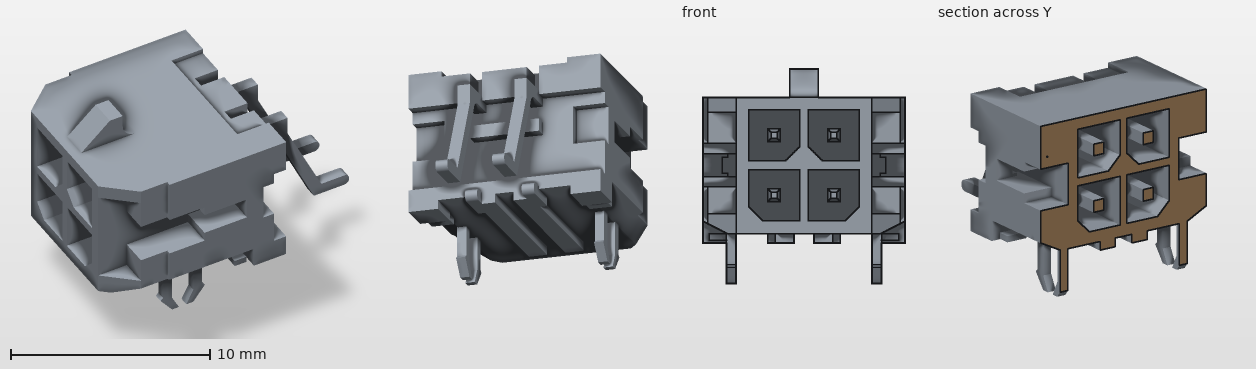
import cadquery as cq


width = 10.15
depth = 9.9
bottom_z = 0.46
top_z = 7.3
half_width = width / 2
nose_half_width = 4.83
nose_depth = 3.17
face_half_width = 3.4
face_chamfer_depth = 1.65
edge_chamfer_width = 1.25
edge_chamfer_height = 0.64

pitch = 3.0
lower_row_z = 2.4
upper_row_z = lower_row_z + pitch
column_xs = (-pitch / 2, pitch / 2)
pin_size = 0.64
pin_tip_size = 0.3
pin_tip_length = 1.0
pin_start_y = 2.5
pin_end_y = 8.57

cavity_size = 2.55
cavity_depth = 7.5
cavity_chamfer = 0.7

side_window_z = (1.48, 6.56)
wide_slot_z = (2.82, 5.0)
wide_slot_depth = 5.19
narrow_slot_z = (3.33, 4.49)
narrow_slot_depth = 7.63
key_recess_depth = 0.5
key_web_x = 3.82
key_head_x = 4.1
key_head_z = (3.5, 4.31)

rear_recess_depth = 0.7
rear_recess_z = (1.15, 5.5)
rear_wall_y = depth - rear_recess_depth
rear_bar_z = (3.56, 4.22)
side_notch_start_y = 8.6
side_notch_z = (2.92, 4.9)
step_half_width = 3.32
step_start_y = 8.08
step_z = 7.02

foot_start_y = 8.04
foot_height = 1.15
foot_inner_x = 3.5
rib_inner_x = 0.49
rib_outer_x = 1.45
tab_outer_x = 4.76
tab_inner_x = 3.6
tab_y = (7.11, 7.78)
tab_bottom_z = 0.13

latch_width = 1.44
latch_top_z = 8.73
latch_front_y = 0.55
latch_crest_y = 2.21
latch_back_y = 2.95
latch_fillet = 0.76

tail_thickness = 0.6
tail_end_radius = 0.28
lower_tail_end_y = 10.7
upper_tail_end_y = 15.4
upper_bend_y = 11.84
upper_bend_z = 4.72
upper_foot_top_y = 13.8
upper_foot_bottom_y = 13.36
inner_bend_start_y = 10.65
inner_bend_end = (11.2, 4.63)
inner_bend_mid = (10.98, 4.96)

peg_inner_x = face_half_width
peg_outer_x = 3.89
peg_center_y = 4.6
peg_bottom_z = -2.04
peg_root_z = 0.7
leg_inner_offset = 0.62
leg_outer_offset = 1.13
hook_offset = 1.28
hook_z = -1.21
hook_top_z = -1.08
leg_bend_z = -1.26
leg_tip_inner_offset = 0.21
leg_tip_outer_offset = 0.61


def box(x_range, y_range, z_range):
    size = [high - low for low, high in (x_range, y_range, z_range)]
    corner = (x_range[0], y_range[0], z_range[0])
    return cq.Workplane("XY").box(*size, centered=False).translate(corner)


def both_sides(shape):
    return shape.union(shape.mirror("YZ"))


def extrude_x(profile, x_start, x_end):
    """Extrude a closed profile, drawn in Y and Z, from x_start to x_end."""
    return profile.extrude(x_end - x_start).translate((x_start, 0, 0))


def make_housing():
    right_edge = [
        (face_half_width, 0),
        (nose_half_width, face_chamfer_depth),
        (nose_half_width, nose_depth),
        (half_width, nose_depth),
        (half_width, depth),
    ]
    left_edge = [(-x, y) for x, y in reversed(right_edge)]
    block = (
        cq.Workplane("XY", origin=(0, 0, bottom_z))
        .polyline(right_edge + left_edge)
        .close()
        .extrude(top_z - bottom_z)
    )
    edge_chamfer = (
        cq.Workplane("XZ")
        .moveTo(-half_width, bottom_z)
        .lineTo(-half_width + edge_chamfer_width, bottom_z)
        .lineTo(-half_width, bottom_z + edge_chamfer_height)
        .close()
        .extrude(-foot_start_y)
    )
    return block.cut(both_sides(edge_chamfer))


def make_feet():
    outer_foot = box((-half_width, -foot_inner_x), (foot_start_y, depth), (0, foot_height))
    rib = box((-rib_outer_x, -rib_inner_x), (face_chamfer_depth, depth), (0, bottom_z))
    tab = box((-tab_outer_x, -tab_inner_x), tab_y, (tab_bottom_z, bottom_z))
    return both_sides(outer_foot.union(rib).union(tab))


def make_side_openings():
    outer_to_core = (-half_width, -face_half_width)
    key_y = (narrow_slot_depth, narrow_slot_depth + key_recess_depth)
    openings = box(outer_to_core, (0, face_chamfer_depth), side_window_z)
    openings = openings.union(box(outer_to_core, (0, wide_slot_depth), wide_slot_z))
    openings = openings.union(box(outer_to_core, (0, narrow_slot_depth), narrow_slot_z))
    openings = openings.union(box((-key_web_x, -face_half_width), key_y, narrow_slot_z))
    openings = openings.union(box((-key_head_x, -face_half_width), key_y, key_head_z))
    openings = openings.union(box(outer_to_core, (side_notch_start_y, rear_wall_y), side_notch_z))
    return both_sides(openings)


def make_rear_openings():
    openings = box((-half_width, half_width), (rear_wall_y, depth), rear_recess_z)
    openings = openings.union(
        box((-step_half_width, step_half_width), (step_start_y, depth), (step_z, top_z))
    )
    for x in column_xs:
        slot_x = (x - pin_size / 2, x + pin_size / 2)
        openings = openings.union(box(slot_x, (pin_end_y, depth), (upper_row_z, top_z)))
    return openings


def make_rear_bar():
    half_length = (pitch + pin_size) / 2
    return box((-half_length, half_length), (rear_wall_y, depth), rear_bar_z)


def make_cavities():
    """Upper cavities are chamfered at the lower inside corner, lower ones at the outside."""
    half = cavity_size / 2
    cavities = cq.Workplane("XY")
    for row_z, chamfer_side in ((upper_row_z, 1), (lower_row_z, -1)):
        outline = [
            (-half * chamfer_side, half),
            (-half * chamfer_side, -half),
            ((half - cavity_chamfer) * chamfer_side, -half),
            (half * chamfer_side, -half + cavity_chamfer),
            (half * chamfer_side, half),
        ]
        cavity = (
            cq.Workplane("XZ", origin=(-pitch / 2, 0, row_z))
            .polyline(outline)
            .close()
            .extrude(-cavity_depth)
        )
        cavities = cavities.add(both_sides(cavity))
    return cavities.combine()


def make_latch():
    profile = (
        cq.Workplane("YZ")
        .moveTo(latch_front_y, top_z)
        .lineTo(latch_crest_y, latch_top_z)
        .lineTo(latch_back_y, latch_top_z)
        .lineTo(latch_back_y, top_z + latch_fillet)
        .radiusArc((latch_back_y + latch_fillet, top_z), -latch_fillet)
        .close()
    )
    return extrude_x(profile, -latch_width / 2, latch_width / 2)


def make_pin(x, z):
    shaft_start_y = pin_start_y + pin_tip_length
    half = pin_size / 2
    shaft = box((x - half, x + half), (shaft_start_y, pin_end_y), (z - half, z + half))
    tip = (
        cq.Workplane("XZ", origin=(x, shaft_start_y, z))
        .rect(pin_size, pin_size)
        .workplane(offset=pin_tip_length)
        .rect(pin_tip_size, pin_tip_size)
        .loft(ruled=True)
    )
    return shaft.union(tip)


def make_upper_tail(x):
    lead_top_z = upper_row_z + pin_size / 2
    lead_bottom_z = upper_row_z - pin_size / 2
    profile = (
        cq.Workplane("YZ")
        .moveTo(pin_end_y, lead_top_z)
        .lineTo(upper_bend_y, lead_top_z)
        .lineTo(upper_bend_y, upper_bend_z)
        .lineTo(upper_foot_top_y, tail_thickness)
        .lineTo(upper_tail_end_y, tail_thickness)
        .lineTo(upper_tail_end_y, 0)
        .lineTo(upper_foot_bottom_y, 0)
        .lineTo(*inner_bend_end)
        .threePointArc(inner_bend_mid, (inner_bend_start_y, lead_bottom_z))
        .lineTo(pin_end_y, lead_bottom_z)
        .close()
    )
    tail = extrude_x(profile, x - pin_size / 2, x + pin_size / 2)
    return tail.faces(">Y").edges("|X").fillet(tail_end_radius)


def make_lower_tail(x):
    half = pin_size / 2
    tail = box((x - half, x + half), (pin_end_y, lower_tail_end_y), (0, tail_thickness))
    return tail.faces(">Y").edges("|X").fillet(tail_end_radius)


def make_pegs():
    leg_profile = [
        (leg_inner_offset, peg_root_z),
        (leg_outer_offset, peg_root_z),
        (leg_outer_offset, hook_top_z),
        (hook_offset, hook_z),
        (leg_tip_outer_offset, peg_bottom_z),
        (leg_tip_inner_offset, peg_bottom_z),
        (leg_inner_offset, leg_bend_z),
    ]
    leg = extrude_x(
        cq.Workplane("YZ").polyline(leg_profile).close(), -peg_outer_x, -peg_inner_x
    )
    leg_pair = leg.union(leg.mirror("XZ")).translate((0, peg_center_y, 0))
    return both_sides(leg_pair)


result = make_housing().union(make_feet())
result = result.cut(make_side_openings())
result = result.cut(make_rear_openings())
result = result.cut(make_cavities())
result = result.union(make_rear_bar())
result = result.union(make_latch())
result = result.union(make_pegs())
for column_x in column_xs:
    result = result.union(make_pin(column_x, upper_row_z))
    result = result.union(make_pin(column_x, lower_row_z))
    result = result.union(make_upper_tail(column_x))
    result = result.union(make_lower_tail(column_x))